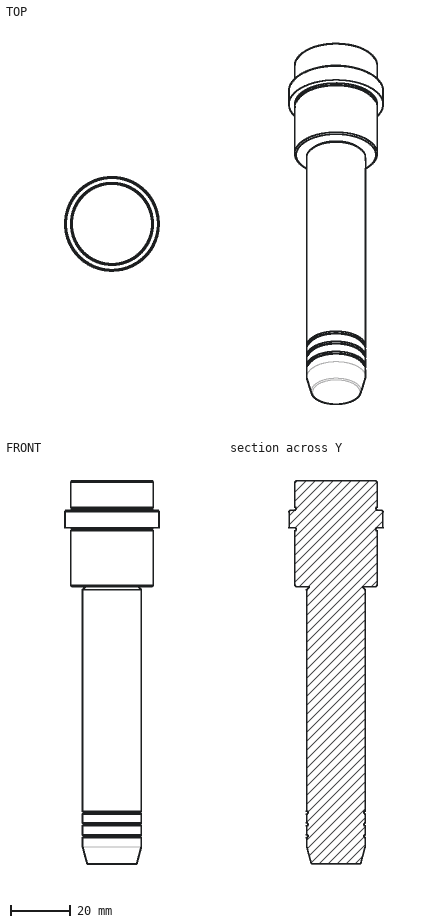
import cadquery as cq
import math

total_length = 130.0
head_height = 10.0
flange_height = 6.0
collar_height = 20.0

head_radius = 14.0
flange_radius = 16.0
shaft_radius = 10.0

edge_chamfer = 0.5

relief_width = 1.0
relief_floor = 0.2
relief_depth = 0.5

neck_chamfer = 1.0

groove_count = 3
groove_pitch = 4.0
groove_width = 1.0
groove_floor = 0.2
groove_depth = 0.5
first_groove_bottom = 9.0

taper_height = 6.0
taper_angle = 15.0
tip_fillet = 0.5

flange_top = total_length - head_height
flange_bottom = flange_top - flange_height
collar_bottom = flange_bottom - collar_height
tip_radius = shaft_radius - taper_height * math.tan(math.radians(taper_angle))


def revolved(points):
    """Solid of revolution about Z from (radius, height) points."""
    return cq.Workplane("XZ").polyline(points).close().revolve(360, (0, 0, 0), (0, 1, 0))


def cylinder(radius, bottom, top):
    """Solid cylinder on the Z axis between two heights."""
    return cq.Workplane("XY").workplane(offset=bottom).circle(radius).extrude(top - bottom)


def ring_groove(body_radius, bottom, width, floor_width, depth):
    """Cutter for a ring groove with sloping walls and a flat floor."""
    top = bottom + width
    slope = (width - floor_width) / 2
    floor_radius = body_radius - depth
    outer_radius = body_radius + depth
    return revolved([
        (outer_radius, bottom),
        (body_radius, bottom),
        (floor_radius, bottom + slope),
        (floor_radius, top - slope),
        (body_radius, top),
        (outer_radius, top),
    ])


def make_shaft():
    """Long shaft with a tapered tip, ring grooves and a chamfered upper end."""
    shaft = revolved([
        (0, 0),
        (tip_radius, 0),
        (shaft_radius, taper_height),
        (shaft_radius, collar_bottom - neck_chamfer),
        (shaft_radius - neck_chamfer, collar_bottom),
        (0, collar_bottom),
    ])
    shaft = shaft.faces("<Z").edges().fillet(tip_fillet)
    for index in range(groove_count):
        bottom = first_groove_bottom + index * groove_pitch
        shaft = shaft.cut(ring_groove(shaft_radius, bottom, groove_width, groove_floor, groove_depth))
    return shaft


def make_head():
    """Head and collar as one cylinder, with the flange between two relief grooves."""
    head = cylinder(head_radius, collar_bottom, total_length).faces("<Z or >Z").chamfer(edge_chamfer)
    for bottom in (flange_top, flange_bottom - relief_width):
        head = head.cut(ring_groove(head_radius, bottom, relief_width, relief_floor, relief_depth))
    flange = cylinder(flange_radius, flange_bottom, flange_top).faces(">Z").chamfer(edge_chamfer)
    return head.union(flange)


result = make_shaft().union(make_head())